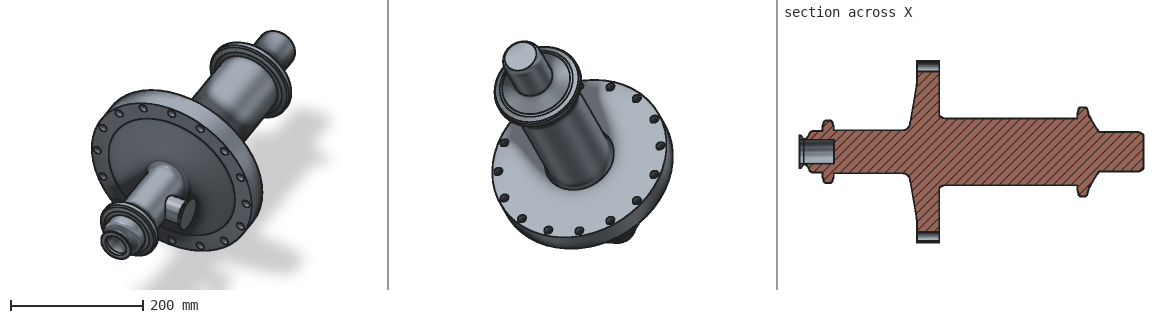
import cadquery as cq
import math

total_length = 520.0

ferrule_radius = 50.5 / 2
ferrule_rim = 2.0
ferrule_neck_radius = 38.0 / 2
ferrule_neck_start = 7.0
ferrule_bore_radius = 36.0 / 2

collar_rim = 8.0
collar_corner = 2.5
collar_corner_inset = 2.0
collar_taper = 2.0
collar_lip_width = 1.0
collar_lip_height = 0.5
collar_length = collar_rim + 2 * (collar_corner + collar_taper)

front_tube_radius = 65.5 / 2
reducer_radius = 63.5 / 2
reducer_start = 7.5
reducer_end = 22.0
reducer_bend_radius = 8.0
reducer_blend_radius = 5.0
reducer_angle = math.radians(55)
front_collar_start = 35.0
front_collar_radius = 94.5 / 2
front_collar_face_radius = 39.5
bore_depth = front_collar_start + collar_length

flange_front = 177.5
flange_thickness = 34.5
flange_radius = 275.0 / 2
hub_base_radius = 107.0
hub_groove_width = 1.5
hub_groove_depth = 0.5
hub_height = 11.0
hub_top_radius = 40.0
hub_blend_height = 10.0

bolt_count = 16
bolt_hole_diameter = 13.0
bolt_circle_radius = 128.0

rear_tube_radius = 101.5 / 2
weld_radius = 109.0 / 2
weld_height = 9.5
rear_collar_start = 420.0
rear_collar_radius = 135.0 / 2
rear_collar_face_radius = 59.0
shoulder_radius = 53.5
shoulder_end_radius = 63.5 / 2
shoulder_flare_height = 3.0
shoulder_step = 0.5
shoulder_length = 13.0
shoulder_bevel_height = 1.5
stub_radius = 60.5 / 2
stub_round_height = 10.5
stub_end_radius = 25.0

port_y = 115.0
port_reach = 62.5
port_rim = 3.5
port_cone_base_radius = 22.5
port_cone_length = 3.5


def tangent_arc_mid(tangent_point, end_point):
    """Middle of an arc that leaves tangent_point along Y and stops at end_point."""
    across = end_point[0] - tangent_point[0]
    along = end_point[1] - tangent_point[1]
    radius = (across**2 + along**2) / (2 * abs(across))
    half_angle = math.asin(abs(along) / radius) / 2
    return (
        tangent_point[0] + math.copysign(radius * (1 - math.cos(half_angle)), across),
        tangent_point[1] + math.copysign(radius * math.sin(half_angle), along),
    )


def revolve_profile(profile):
    return profile.close().revolve(360, (0, 0, 0), (0, 1, 0))


def make_body():
    flange_back = flange_front + flange_thickness
    groove_floor = flange_front + hub_groove_depth
    groove_radius = hub_base_radius + hub_groove_width
    hub_top = flange_front - hub_height
    flare_start = rear_collar_start + collar_length - collar_taper
    flare_radius = rear_collar_radius - collar_corner_inset
    shoulder_start = flare_start + shoulder_flare_height + shoulder_step
    shoulder_end = shoulder_start + shoulder_length

    reducer_bend = (reducer_radius, reducer_end)
    bend_start = (
        reducer_radius - reducer_bend_radius * (1 - math.cos(reducer_angle)),
        reducer_end - reducer_bend_radius * math.sin(reducer_angle),
    )
    neck_blend = (ferrule_neck_radius, reducer_start)
    blend_end = (
        ferrule_neck_radius + reducer_blend_radius * (1 - math.cos(reducer_angle)),
        reducer_start + reducer_blend_radius * math.sin(reducer_angle),
    )
    hub_blend = (front_tube_radius, hub_top - hub_blend_height)
    hub_tip = (hub_top_radius, hub_top)
    weld_toe = (weld_radius, flange_back)
    weld_top = (rear_tube_radius, flange_back + weld_height)
    stub_round = (stub_radius, total_length - stub_round_height)
    stub_tip = (stub_end_radius, total_length)

    profile = (
        cq.Workplane("XY")
        .moveTo(0, 0)
        .lineTo(ferrule_radius, 0)
        .lineTo(ferrule_radius, ferrule_rim)
        .lineTo(ferrule_neck_radius, ferrule_neck_start)
        .lineTo(*neck_blend)
        .threePointArc(tangent_arc_mid(neck_blend, blend_end), blend_end)
        .lineTo(*bend_start)
        .threePointArc(tangent_arc_mid(reducer_bend, bend_start), reducer_bend)
        .lineTo(reducer_radius, front_collar_start)
        .lineTo(front_tube_radius, front_collar_start)
        .lineTo(*hub_blend)
        .threePointArc(tangent_arc_mid(hub_blend, hub_tip), hub_tip)
        .lineTo(hub_base_radius, groove_floor)
        .lineTo(groove_radius, groove_floor)
        .lineTo(groove_radius, flange_front)
        .lineTo(flange_radius, flange_front)
        .lineTo(flange_radius, flange_back)
        .lineTo(*weld_toe)
        .threePointArc(tangent_arc_mid(weld_top, weld_toe), weld_top)
        .lineTo(rear_tube_radius, flare_start)
        .lineTo(flare_radius, flare_start)
        .lineTo(shoulder_radius, shoulder_start - shoulder_step)
        .lineTo(shoulder_radius, shoulder_start)
        .lineTo(shoulder_end_radius, shoulder_end)
        .lineTo(stub_radius, shoulder_end + shoulder_bevel_height)
        .lineTo(*stub_round)
        .threePointArc(tangent_arc_mid(stub_round, stub_tip), stub_tip)
        .lineTo(0, total_length)
    )
    return revolve_profile(profile)


def make_collar(start, radius, face_radius):
    end = start + collar_length
    edge = collar_taper + collar_corner
    corner_radius = radius - collar_corner_inset
    profile = (
        cq.Workplane("XY")
        .moveTo(0, start)
        .lineTo(face_radius - collar_lip_width, start)
        .lineTo(face_radius, start + collar_lip_height)
        .lineTo(corner_radius, start + collar_taper)
        .lineTo(radius, start + edge)
        .lineTo(radius, end - edge)
        .lineTo(corner_radius, end - collar_taper)
        .lineTo(face_radius, end - collar_lip_height)
        .lineTo(face_radius - collar_lip_width, end)
        .lineTo(0, end)
    )
    return revolve_profile(profile)


def make_port():
    profile = (
        cq.Workplane("XY")
        .lineTo(0, ferrule_radius)
        .lineTo(-port_rim, ferrule_radius)
        .lineTo(-port_rim, port_cone_base_radius)
        .lineTo(-port_rim - port_cone_length, ferrule_neck_radius)
        .lineTo(-port_reach, ferrule_neck_radius)
        .lineTo(-port_reach, 0)
        .close()
    )
    port = profile.revolve(360, (0, 0, 0), (1, 0, 0))
    return port.translate((port_reach, port_y, 0))


def make_bolt_holes():
    return (
        cq.Workplane("XZ", origin=(0, flange_front, 0))
        .polarArray(bolt_circle_radius, 0, 360, bolt_count)
        .circle(bolt_hole_diameter / 2)
        .extrude(-flange_thickness)
    )


def make_front_bore():
    return cq.Workplane("XZ").circle(ferrule_bore_radius).extrude(-bore_depth)


result = (
    make_body()
    .union(make_collar(front_collar_start, front_collar_radius, front_collar_face_radius))
    .union(make_collar(rear_collar_start, rear_collar_radius, rear_collar_face_radius))
    .union(make_port())
    .cut(make_bolt_holes())
    .cut(make_front_bore())
)